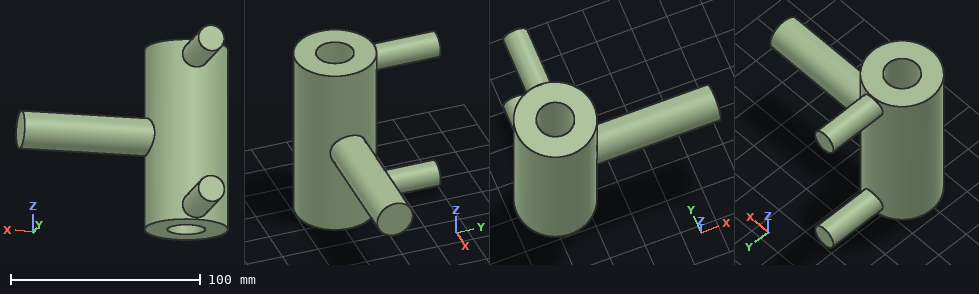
import cadquery as cq

total_length = 112.0
total_depth = 79.0
body_height = 98.0

body_diameter = 44.0
body_radius = body_diameter / 2
bore_diameter = 20.0

arm_diameter = 20.0
arm_reach = total_length - body_radius

peg_diameter = 14.0
peg_reach = total_depth - body_radius
peg_end_inset = 8.0
peg_heights = (peg_end_inset, body_height - peg_end_inset)


def rod(diameter, reach, height, direction):
    """Round rod running outward from the body axis at the given height."""
    start = cq.Vector(0, 0, height)
    return cq.Workplane(cq.Solid.makeCylinder(diameter / 2, reach, start, cq.Vector(*direction)))


result = cq.Workplane("XY").circle(body_radius).extrude(body_height)
result = result.union(rod(arm_diameter, arm_reach, body_height / 2, (1, 0, 0)))
for peg_height in peg_heights:
    result = result.union(rod(peg_diameter, peg_reach, peg_height, (0, 1, 0)))

bore = cq.Workplane("XY").circle(bore_diameter / 2).extrude(body_height)
result = result.cut(bore)